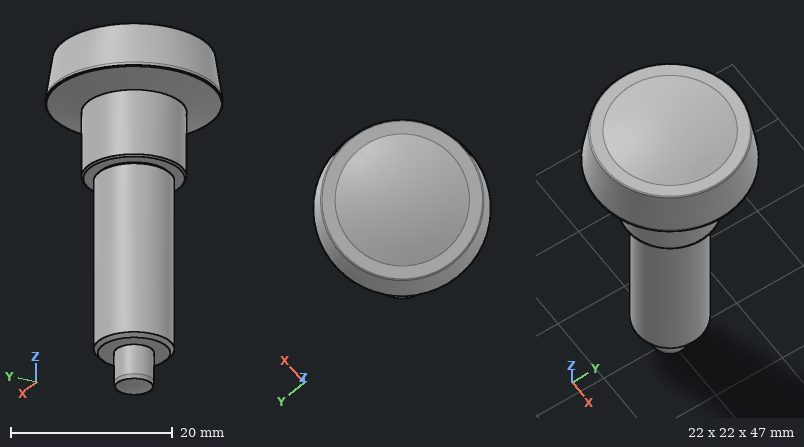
import cadquery as cq

total_height = 47.0

pin_radius = 2.5
pin_dome_height = 0.38
pin_dome_radius = 2.35
pin_taper_top = 1.0

shaft_radius = 5.005
shaft_bottom = 5.0
shaft_bottom_chamfer = 0.5
shaft_top_chamfer = 0.35

collar_radius = 6.51
collar_bottom = 28.95
collar_top = 38.0
collar_chamfer = 0.25

head_radius = 11.0
underside_lip = 0.1
band_bottom = 39.15
band_top = 39.7
band_edge_chamfer = 0.15
rim_radius = 10.1
rim_height = 45.5
rim_edge_fillet = 0.2
cap_radius = 8.3


def pin():
    """Cylindrical pin with a short taper and a shallow domed tip."""
    profile = (
        cq.Workplane("XZ")
        .lineTo(0, shaft_bottom)
        .lineTo(pin_radius, shaft_bottom)
        .lineTo(pin_radius, pin_taper_top)
        .lineTo(pin_dome_radius, pin_dome_height)
        .radiusArc((0, 0), arc_radius(pin_dome_radius, pin_dome_height))
        .close()
    )
    return revolve_about_z(profile)


def shaft():
    """Guide shaft that meets the underside of the collar."""
    return (
        cq.Workplane("XY", origin=(0, 0, shaft_bottom))
        .circle(shaft_radius)
        .extrude(collar_bottom - shaft_bottom)
        .faces("<Z").chamfer(shaft_bottom_chamfer)
        .faces(">Z").chamfer(shaft_top_chamfer)
    )


def collar():
    """Plain collar with a broken lower edge."""
    return (
        cq.Workplane("XY", origin=(0, 0, collar_bottom))
        .circle(collar_radius)
        .extrude(collar_top - collar_bottom)
        .faces("<Z").chamfer(collar_chamfer)
    )


def head():
    """Revolved knob with a conical underside overhanging the collar and a tapered grip."""
    profile = (
        cq.Workplane("XZ")
        .moveTo(0, collar_top)
        .lineTo(collar_radius + underside_lip, collar_top)
        .lineTo(head_radius - band_edge_chamfer, band_bottom)
        .lineTo(head_radius, band_bottom + band_edge_chamfer)
        .lineTo(head_radius, band_top)
        .lineTo(rim_radius, rim_height)
        .lineTo(0, rim_height)
        .close()
    )
    return revolve_about_z(profile).faces(">Z").edges().fillet(rim_edge_fillet)


def cap():
    """Shallow spherical dome on the flat top of the knob."""
    cap_height = total_height - rim_height
    profile = (
        cq.Workplane("XZ")
        .moveTo(0, rim_height)
        .lineTo(cap_radius, rim_height)
        .radiusArc((0, total_height), -arc_radius(cap_radius, cap_height))
        .close()
    )
    return revolve_about_z(profile)


def arc_radius(half_chord, rise):
    """Radius of the sphere whose cap has this base radius and height."""
    return (half_chord**2 + rise**2) / (2 * rise)


def revolve_about_z(profile):
    """Full turn of an XZ profile about the part axis."""
    return profile.revolve(360, (0, 0, 0), (0, 1, 0))


result = pin().union(shaft()).union(collar()).union(head()).union(cap())